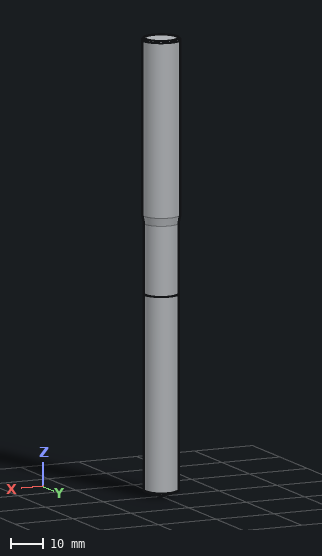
import cadquery as cq
import math

total_length = 146.0
shank_diameter = 12.0
shank_radius = shank_diameter / 2
shank_chamfer = 0.6

neck_diameter = 11.0
neck_radius = neck_diameter / 2
neck_top = 87.0
taper_top = 89.6

head_radius = neck_radius
head_top = 64.5
point_angle = 140.0
point_height = head_radius / math.tan(math.radians(point_angle / 2))


def make_shank():
    """Chamfered shank, its taper and the neck, turned from a half profile."""
    return (
        cq.Workplane("YZ")
        .moveTo(0, head_top)
        .lineTo(-neck_radius, head_top)
        .lineTo(-neck_radius, neck_top)
        .lineTo(-shank_radius, taper_top)
        .lineTo(-shank_radius, total_length - shank_chamfer)
        .lineTo(-(shank_radius - shank_chamfer), total_length)
        .lineTo(0, total_length)
        .close()
        .revolve(360, (0, 0, 0), (0, 1, 0))
    )


def make_cutting_head():
    """Cylindrical head ending in a cone, turned from a half profile."""
    return (
        cq.Workplane("XZ")
        .moveTo(0, 0)
        .lineTo(-head_radius, point_height)
        .lineTo(-head_radius, head_top)
        .lineTo(0, head_top)
        .close()
        .revolve(360, (0, 0, 0), (0, 1, 0))
    )


shank = make_shank()
cutting_head = make_cutting_head()

result = cq.Compound.makeCompound([shank.val(), cutting_head.val()])